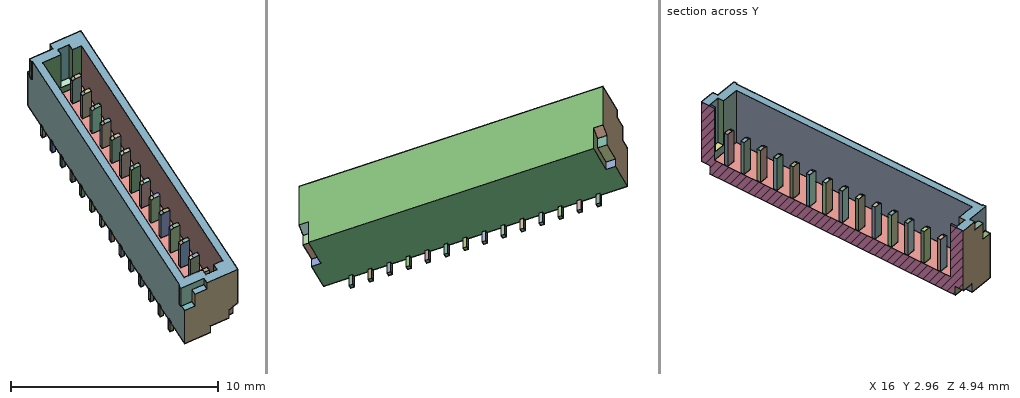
import cadquery as cq


length = 16.0
depth = 2.91
height = 4.24

end_wall = 0.8
long_wall = 0.4
cavity_floor = 1.02
key_slot_floor = 1.5
key_slot_reach = 0.34
key_slot_width = 0.6
key_slot_from_back = 0.9

pin_count = 14
pitch = length / (pin_count + 2)
pin_width = pitch / 5
pin_depth = 0.5
pin_from_back = 0.82
pin_below_rim = 1.25
pin_bevel_run = 0.16
pin_bevel_drop = 0.08
foot_depth = 0.2
foot_length = 0.7
foot_above_underside = 0.13
standoff = 0.05

strip_notch_reach = 0.3
strip_height = 1.49
strip_width = 0.2
strip_thickness = 0.2
upper_step_height = 0.51
upper_step_width = 1.22
lower_step_width = 0.56

relief_reach = 0.5
relief_wide = 1.49
relief_narrow = 0.48
relief_shelf = 0.53
relief_slope_start = 1.2
relief_top = 1.47


def block(x_range, y_range, z_range):
    """Box spanning the given (low, high) range on each axis."""
    (x0, x1), (y0, y1), (z0, z1) = x_range, y_range, z_range
    return cq.Workplane("XY").box(x1 - x0, y1 - y0, z1 - z0, centered=False).translate((x0, y0, z0))


def end_profile(points, x_start, thickness):
    """Solid with a (Y, Z) outline, extruded along +X from x_start."""
    return cq.Workplane("YZ", origin=(x_start, 0, 0)).polyline(points).close().extrude(thickness)


def both_ends(left_feature):
    """A left-end feature together with its mirror image at the right end."""
    return left_feature.union(left_feature.mirror("YZ"))


def mating_cavity():
    half_inside = length / 2 - end_wall
    half_slots = half_inside + key_slot_reach
    slot_back = depth - key_slot_from_back
    opening = block(
        (-half_inside, half_inside),
        (long_wall, depth - long_wall),
        (cavity_floor, height),
    )
    key_slots = block(
        (-half_slots, half_slots),
        (slot_back - key_slot_width, slot_back),
        (key_slot_floor, height),
    )
    return opening.union(key_slots)


def strip_notch():
    outline = [
        (0, height),
        (0, height - strip_height),
        (lower_step_width, height - strip_height),
        (lower_step_width, height - upper_step_height),
        (upper_step_width, height - upper_step_height),
        (upper_step_width, height),
    ]
    return end_profile(outline, -length / 2, strip_notch_reach)


def solder_strip():
    x_start = -length / 2 + strip_notch_reach
    return block(
        (x_start, x_start + strip_width),
        (-standoff, strip_thickness - standoff),
        (height - strip_height, height),
    )


def bottom_relief():
    outline = [
        (depth, 0),
        (depth - relief_wide, 0),
        (depth - relief_wide, relief_shelf),
        (depth - relief_narrow, relief_shelf),
        (depth - relief_narrow, relief_slope_start),
        (depth, relief_top),
    ]
    return end_profile(outline, -length / 2, relief_reach)


def contact(x_center):
    """One pin rising from the cavity floor and its solder foot below the housing."""
    x_start = x_center - pin_width / 2
    pin_back = depth - pin_from_back
    pin_front = pin_back - pin_depth
    pin_top = height - pin_below_rim
    pin_outline = [
        (pin_back, 0),
        (pin_back, pin_top),
        (pin_front + pin_bevel_run, pin_top),
        (pin_front, pin_top - pin_bevel_drop),
        (pin_front, 0),
    ]
    pin = end_profile(pin_outline, x_start, pin_width)
    foot = block(
        (x_start, x_start + pin_width),
        (-standoff, foot_depth - standoff),
        (-foot_length, foot_above_underside),
    )
    return pin, foot


housing = block((-length / 2, length / 2), (0, depth), (0, height))
housing = housing.cut(mating_cavity())
housing = housing.cut(both_ends(strip_notch()))
housing = housing.cut(both_ends(bottom_relief()))

result = housing.union(both_ends(solder_strip()))
for index in range(pin_count):
    pin, foot = contact((index - (pin_count - 1) / 2) * pitch)
    result = result.union(pin).union(foot)